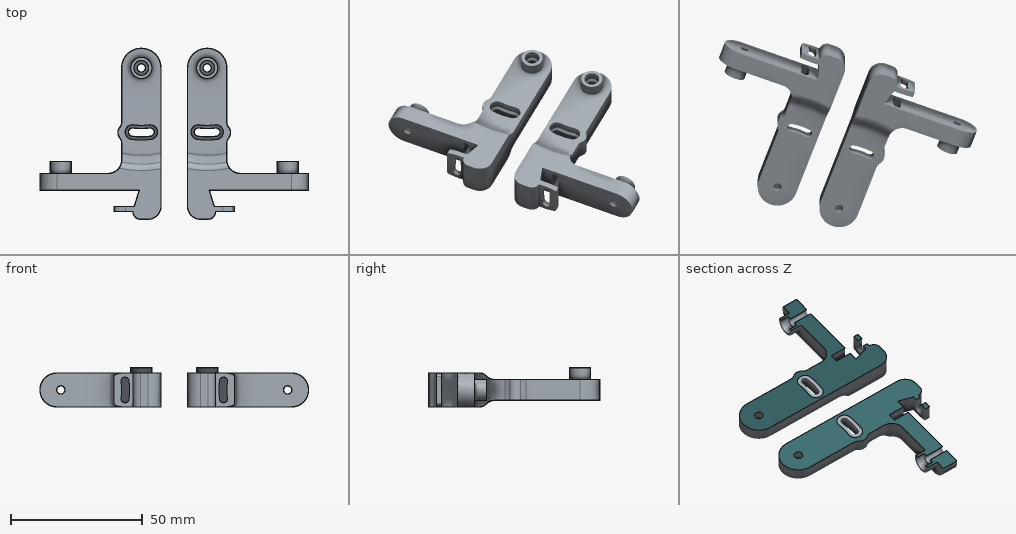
import cadquery as cq
import math

overall_length = 102.0
overall_depth = 65.0
overall_height = 15.0
gap = 10.0
outer_x = -overall_length / 2
inner_x = -gap / 2

arm_width = 15.0
arm_thickness = 8.0
arm_end_radius = arm_width / 2
arm_center_x = inner_x - arm_end_radius
arm_outer_x = inner_x - arm_width

head_height = 13.0
head_half_height = head_height / 2
cross_thickness = 6.5
cross_back_y = -40.0
cross_front_y = cross_back_y - cross_thickness
inside_corner_radius = 5.0

nose_y = arm_end_radius - overall_depth
nose_inner_radius = 5.0
nose_outer_radius = 3.0
nose_outer_center_x = -12.8
nose_outer_center = (nose_outer_center_x, nose_y + nose_outer_radius)
notch_x = -13.4

boss_diameter = 8.1
boss_height = overall_height - head_half_height - arm_thickness / 2
bolt_diameter = 3.1
counterbore_diameter = 5.6
counterbore_depth = 3.2
cross_pivot_inset = 8.0
cross_pivot_x = outer_x + cross_pivot_inset

slot_radius = 24.6
slot_half_angle = 7.8
slot_width = bolt_diameter
slot_recess_width = counterbore_diameter
slot_recess_depth = 3.0

bump_projection = 1.4
bump_half_length = 4.0

step_start_radius = 33.2
step_inflection_radius = 36.5
step_end_radius = 39.0

lug_outer_x = -22.8
lug_back_y = -52.5
lug_thickness = 2.0
lug_front_y = lug_back_y - lug_thickness
lug_crown_radius = 14.0
lug_corner_radius = 0.9


def long_arm():
    bar = (
        cq.Workplane("XY")
        .workplane(offset=-arm_thickness / 2)
        .moveTo(inner_x, cross_back_y)
        .lineTo(inner_x, 0)
        .threePointArc((arm_center_x, arm_end_radius), (arm_outer_x, 0))
        .lineTo(arm_outer_x, cross_back_y)
        .close()
        .extrude(arm_thickness)
    )
    return bar.union(edge_bump())


def edge_bump():
    """S-shaped swelling made of equal arcs: concave, convex, concave."""
    radius = (bump_half_length**2 + bump_projection**2) / (4 * bump_projection)
    rise_angle = math.asin(bump_half_length / (2 * radius))
    fillet_x = radius * (1 - math.cos(rise_angle / 2))
    fillet_y = bump_half_length - radius * math.sin(rise_angle / 2)

    def point(projection, along):
        return (arm_outer_x - projection, -slot_radius + along)

    return (
        cq.Workplane("XY")
        .workplane(offset=-arm_thickness / 2)
        .moveTo(*point(0, bump_half_length))
        .threePointArc(point(fillet_x, fillet_y), point(bump_projection / 2, bump_half_length / 2))
        .threePointArc(point(bump_projection, 0), point(bump_projection / 2, -bump_half_length / 2))
        .threePointArc(point(fillet_x, -fillet_y), point(0, -bump_half_length))
        .lineTo(arm_center_x, -slot_radius - bump_half_length)
        .lineTo(arm_center_x, -slot_radius + bump_half_length)
        .close()
        .extrude(arm_thickness)
    )


def nose_tangent_point():
    """Point where the straight flank from the notch touches the outer nose radius."""
    dx = notch_x - nose_outer_center[0]
    dy = cross_front_y - nose_outer_center[1]
    angle = math.atan2(dy, dx) + math.acos(nose_outer_radius / math.hypot(dx, dy))
    return (
        nose_outer_center[0] + nose_outer_radius * math.cos(angle),
        nose_outer_center[1] + nose_outer_radius * math.sin(angle),
    )


def head():
    """Full-height block with the nose and the inside corner, reaching into the clearance step."""
    inner_center = (inner_x - nose_inner_radius, nose_y + nose_inner_radius)
    diagonal = nose_inner_radius * math.sqrt(0.5)
    fillet_center = (arm_outer_x - inside_corner_radius, cross_back_y + inside_corner_radius)
    fillet_diagonal = inside_corner_radius * math.sqrt(0.5)
    nose_side_angle = math.radians(225)
    nose_side = (
        nose_outer_center[0] + nose_outer_radius * math.cos(nose_side_angle),
        nose_outer_center[1] + nose_outer_radius * math.sin(nose_side_angle),
    )
    head_top_y = -step_start_radius * math.cos(math.asin(arm_end_radius / step_start_radius))
    return (
        cq.Workplane("XY")
        .workplane(offset=-head_half_height)
        .moveTo(fillet_center[0], cross_front_y)
        .lineTo(notch_x, cross_front_y)
        .lineTo(*nose_tangent_point())
        .threePointArc(nose_side, (nose_outer_center[0], nose_y))
        .lineTo(inner_center[0], nose_y)
        .threePointArc((inner_center[0] + diagonal, inner_center[1] - diagonal), (inner_x, inner_center[1]))
        .lineTo(inner_x, head_top_y)
        .lineTo(arm_outer_x, head_top_y)
        .lineTo(arm_outer_x, fillet_center[1])
        .threePointArc(
            (fillet_center[0] + fillet_diagonal, fillet_center[1] - fillet_diagonal),
            (fillet_center[0], cross_back_y),
        )
        .close()
        .extrude(head_height)
    )


def cross_arm():
    """Arm along X with a full round outer end."""
    end_center_x = outer_x + head_half_height
    return (
        cq.Workplane("XZ", origin=(0, cross_back_y, 0))
        .moveTo(notch_x, head_half_height)
        .lineTo(end_center_x, head_half_height)
        .threePointArc((outer_x, 0), (end_center_x, -head_half_height))
        .lineTo(notch_x, -head_half_height)
        .close()
        .extrude(cross_thickness)
    )


def step_clearance():
    """Space above the long arm: a disc about its pivot whose rim blends up in an S curve."""
    floor_z = arm_thickness / 2
    rise = head_half_height - floor_z
    run = step_end_radius - step_start_radius
    slope = 2 * math.atan(rise / run)
    lower_run = step_inflection_radius - step_start_radius
    lower_arc = lower_run / math.sin(slope)
    upper_arc = (run - lower_run) / math.sin(slope)
    inflection_z = floor_z + lower_arc * (1 - math.cos(slope))
    half_sine = math.sin(slope / 2)
    half_drop = 1 - math.cos(slope / 2)
    profile = (
        cq.Workplane("XZ", origin=(arm_center_x, 0, 0))
        .moveTo(0, floor_z)
        .lineTo(step_start_radius, floor_z)
        .threePointArc(
            (step_start_radius + lower_arc * half_sine, floor_z + lower_arc * half_drop),
            (step_inflection_radius, inflection_z),
        )
        .threePointArc(
            (step_end_radius - upper_arc * half_sine, head_half_height - upper_arc * half_drop),
            (step_end_radius, head_half_height),
        )
        .lineTo(0, head_half_height)
        .close()
    )
    upper = profile.revolve(360, (0, 0, 0), (0, 1, 0))
    return upper.union(upper.mirror("XY"))


def lug():
    """Thin plate beside the nose, crowned above and below its slot and rounded at the outer corners."""
    crown_start_x = cross_pivot_x + slot_radius

    def crown_point(x):
        drop = lug_crown_radius - math.sqrt(lug_crown_radius**2 - (crown_start_x - x) ** 2)
        return (x, head_half_height - drop)

    middle_x, middle_z = crown_point((crown_start_x + lug_outer_x) / 2)
    end_z = crown_point(lug_outer_x)[1]
    plate = (
        cq.Workplane("XZ", origin=(0, lug_back_y, 0))
        .moveTo(nose_outer_center[0], head_half_height)
        .lineTo(crown_start_x, head_half_height)
        .threePointArc((middle_x, middle_z), (lug_outer_x, end_z))
        .lineTo(lug_outer_x, -end_z)
        .threePointArc((middle_x, -middle_z), (crown_start_x, -head_half_height))
        .lineTo(nose_outer_center[0], -head_half_height)
        .close()
        .extrude(lug_thickness)
    )
    return plate.edges("|Y and <X").fillet(lug_corner_radius)


def curved_slot(plane, width, depth):
    """Round-ended slot on an arc about the plane's origin, cut down from the plane."""
    half = math.radians(slot_half_angle)

    def polar(radius, angle):
        return (radius * math.cos(angle), radius * math.sin(angle))

    inner = slot_radius - width / 2
    outer = slot_radius + width / 2
    end_angle = half + width / 2 / slot_radius
    return (
        cq.Workplane(plane)
        .moveTo(*polar(inner, -half))
        .threePointArc(polar(inner, 0), polar(inner, half))
        .threePointArc(polar(slot_radius, end_angle), polar(outer, half))
        .threePointArc(polar(outer, 0), polar(outer, -half))
        .threePointArc(polar(slot_radius, -end_angle), polar(inner, -half))
        .close()
        .extrude(-depth)
    )


def add_pivot(body, face_plane, thickness):
    """Boss on the arm face with a counterbored bolt hole through the arm."""
    total = boss_height + thickness
    boss = cq.Workplane(face_plane).circle(boss_diameter / 2).extrude(boss_height)
    top = cq.Workplane(face_plane).workplane(offset=boss_height)
    hole = top.circle(bolt_diameter / 2).extrude(-total)
    counterbore = top.circle(counterbore_diameter / 2).extrude(-counterbore_depth)
    return body.union(boss).cut(hole).cut(counterbore)


def bracket():
    long_face = cq.Plane(origin=(arm_center_x, 0, arm_thickness / 2), xDir=(0, -1, 0), normal=(0, 0, 1))
    cross_face = cq.Plane(origin=(cross_pivot_x, cross_back_y, 0), xDir=(1, 0, 0), normal=(0, 1, 0))

    body = head().cut(step_clearance()).union(cross_arm()).union(long_arm()).union(lug())
    body = add_pivot(body, long_face, arm_thickness)
    body = add_pivot(body, cross_face, cross_thickness)

    body = body.cut(curved_slot(long_face, slot_width, arm_thickness))
    body = body.cut(curved_slot(long_face, slot_recess_width, slot_recess_depth))
    return body.cut(curved_slot(cross_face, slot_width, cross_back_y - lug_front_y))


left_bracket = bracket()
right_bracket = left_bracket.mirror("YZ")

result = cq.Compound.makeCompound([left_bracket.val(), right_bracket.val()])